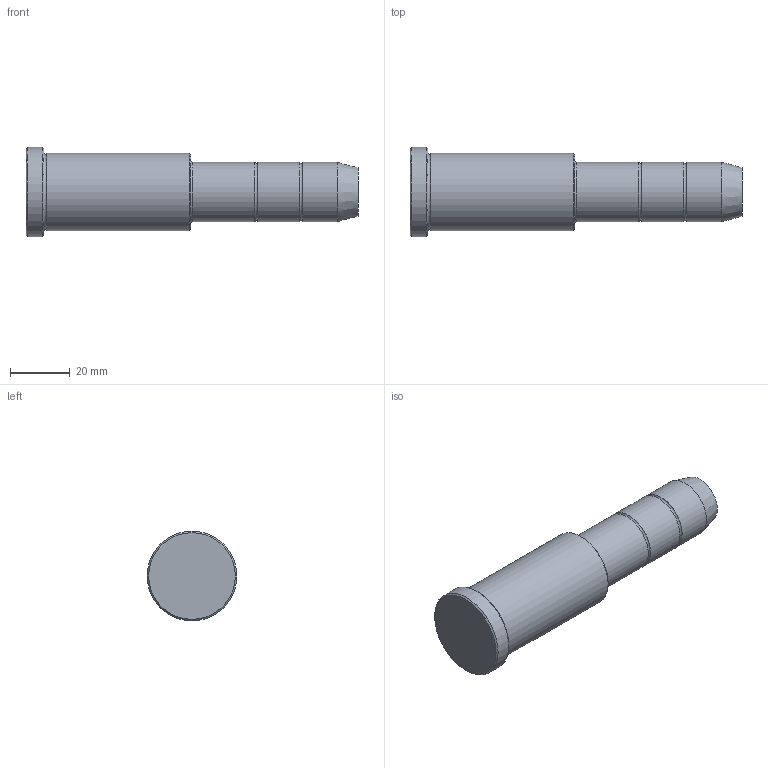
import cadquery as cq
import math

total_length = 111.0

head_diameter = 30.0
head_length = 6.0

body_diameter = 26.0
body_end = 55.0
edge_chamfer = 0.5

shank_diameter = 20.0
shank_root_radius = 0.5

groove_radius = 0.5
undercut_centre = head_length + groove_radius
shank_groove_centres = (77.0, 92.0)

taper_length = 7.0
taper_angle = 15.0

head_radius = head_diameter / 2
body_radius = body_diameter / 2
shank_radius = shank_diameter / 2
tip_radius = shank_radius - taper_length * math.tan(math.radians(taper_angle))


def make_blank():
    """Head, body, shank and tapered tip, with chamfered edges and a rounded shank root."""
    root_inset = shank_root_radius * (1 - math.sqrt(0.5))
    half_profile = (
        cq.Workplane("XY")
        .lineTo(0, head_radius - edge_chamfer)
        .lineTo(edge_chamfer, head_radius)
        .lineTo(head_length - edge_chamfer, head_radius)
        .lineTo(head_length, head_radius - edge_chamfer)
        .lineTo(head_length, body_radius)
        .lineTo(body_end - edge_chamfer, body_radius)
        .lineTo(body_end, body_radius - edge_chamfer)
        .lineTo(body_end, shank_radius + shank_root_radius)
        .threePointArc(
            (body_end + root_inset, shank_radius + root_inset),
            (body_end + shank_root_radius, shank_radius),
        )
        .lineTo(total_length - taper_length, shank_radius)
        .lineTo(total_length, tip_radius)
        .lineTo(total_length, 0)
        .close()
    )
    return half_profile.revolve(360, (0, 0, 0), (1, 0, 0))


def ring_groove(centre, surface_radius):
    """Half-round ring to cut into a cylinder of the given radius."""
    half_section = (
        cq.Workplane("XY")
        .moveTo(centre - groove_radius, surface_radius)
        .threePointArc(
            (centre, surface_radius - groove_radius),
            (centre + groove_radius, surface_radius),
        )
        .close()
    )
    return half_section.revolve(360, (0, 0, 0), (1, 0, 0))


result = make_blank().cut(ring_groove(undercut_centre, body_radius))
for groove_centre in shank_groove_centres:
    result = result.cut(ring_groove(groove_centre, shank_radius))